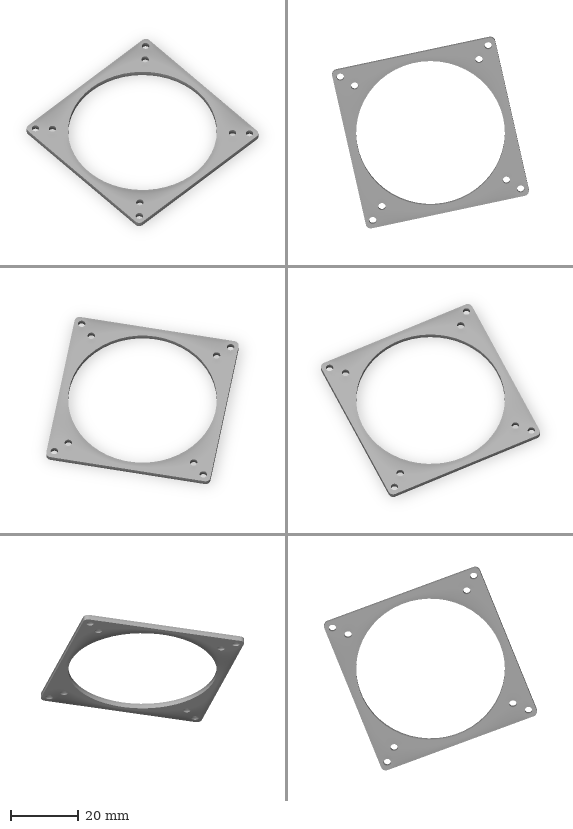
import cadquery as cq

side = 49.5
thickness = 1.6
corner_radius = 1.5

bore_diameter = 44.15
hole_diameter = 2.2
outer_hole_spacing = 44.95
inner_hole_spacing = 37.85


def square_hole_pattern(plate, spacing):
    """Drill four through holes at the corners of a centred square."""
    return (
        plate.faces(">Z")
        .workplane(origin=(0, 0, 0))
        .rect(spacing, spacing, forConstruction=True)
        .vertices()
        .hole(hole_diameter)
    )


result = cq.Workplane("XY").box(side, side, thickness, centered=(True, True, False))
result = result.edges("|Z").fillet(corner_radius)

result = result.faces(">Z").workplane(origin=(0, 0, 0)).hole(bore_diameter)

for hole_spacing in (outer_hole_spacing, inner_hole_spacing):
    result = square_hole_pattern(result, hole_spacing)